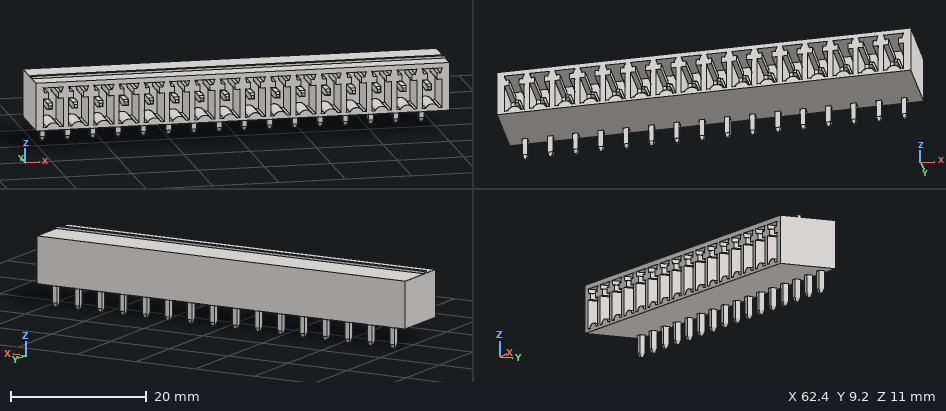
import cadquery as cq

overall_height = 11.0
body_length = 62.35
body_depth = 9.2

ridge_front = 2.85
ridge_width = 0.6
ridge_height = 0.35

pin_count = 16
end_margin = 2.6
pitch = (body_length - 2 * end_margin) / (pin_count - 1)

cavity_depth = 5
chamber_width = 3.0
chamber_floor = 0.5
chamber_top = 4.8
neck_width = 1.5
slot_bottom = 5.75
slot_top = 6.5
slot_bottom_width = 2.5
hump_width = 2.0
hump_rise = 0.6

pin_width = 0.8
pin_thickness = 0.95
tip_length = 0.6
tip_width = 0.45
tip_thickness = 0.45
contact_height = 3.05
contact_front = 1.9
tail_length = 3.35
tail_setback = 1.2

body_height = overall_height - tail_length - ridge_height


def make_housing():
    """Plain block with the ridge on its top face."""
    centred_in_x = (True, False, False)
    block = cq.Workplane("XY").box(body_length, body_depth, body_height, centered=centred_in_x)
    ridge = (
        cq.Workplane("XY", origin=(0, ridge_front, body_height))
        .box(body_length, ridge_width, ridge_height, centered=centred_in_x)
    )
    return block.union(ridge)


def make_cavity(x):
    """Keyed cavity: chamber with an arched floor, a narrow neck and a flared slot above."""
    half_chamber = chamber_width / 2
    half_neck = neck_width / 2
    half_slot = slot_bottom_width / 2
    half_hump = hump_width / 2
    right_side = [
        (half_hump, chamber_floor),
        (half_chamber, chamber_floor),
        (half_chamber, chamber_top),
        (half_neck, chamber_top),
        (half_neck, slot_bottom),
        (half_slot, slot_bottom),
        (half_chamber, slot_top),
    ]
    left_side = [(-across, height) for across, height in reversed(right_side)]
    hump_crest = (0, chamber_floor + hump_rise)
    return (
        cq.Workplane("XZ", origin=(x, 0, 0))
        .polyline(right_side + left_side)
        .threePointArc(hump_crest, right_side[0])
        .close()
        .extrude(-cavity_depth)
    )


def tapered_pin(start, direction, length):
    """Rectangular pin growing from start along direction, narrowing over its tip."""
    base_plane = cq.Plane(origin=start, xDir=(1, 0, 0), normal=direction)
    shank_length = length - tip_length
    shank = cq.Workplane(base_plane).rect(pin_width, pin_thickness).extrude(shank_length)
    tip = (
        cq.Workplane(base_plane)
        .workplane(offset=shank_length)
        .rect(pin_width, pin_thickness)
        .workplane(offset=tip_length)
        .rect(tip_width, tip_thickness)
        .loft()
    )
    return shank.union(tip)


def make_contact(x):
    """Mating pin reaching forward from the back wall of a cavity."""
    length = cavity_depth - contact_front
    return tapered_pin((x, cavity_depth, contact_height), (0, -1, 0), length)


def make_tail(x):
    """Solder pin below the housing, near its back."""
    return tapered_pin((x, body_depth - tail_setback, 0), (0, 0, -1), tail_length)


result = make_housing()
for index in range(pin_count):
    pin_x = -body_length / 2 + end_margin + index * pitch
    result = result.cut(make_cavity(pin_x))
    result = result.union(make_contact(pin_x))
    result = result.union(make_tail(pin_x))